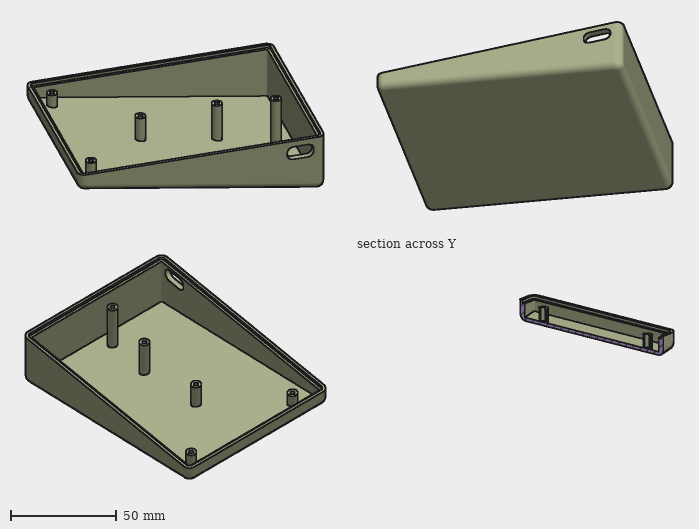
import cadquery as cq
import math

width = 87.0
length = 122.0
height = 29.4
floor_angle = math.radians(10)
edge_radius = 3.5

wall = 3.0
floor_thickness = 2.0
ledge_width = 1.6
ledge_depth = 1.5

post_diameter = 5.0
post_hole_diameter = 2.2
post_centers = [(2.5, 49.0), (-1.6, 21.0), (-1.6, -17.0), (-33.4, -51.0), (29.5, -51.0)]

opening_length = 13.2
opening_height = 7.0
opening_corner_radius = 3.0
opening_y = 48.7
opening_z = -6.7

slope = math.tan(floor_angle)
back_depth = height - edge_radius + edge_radius / math.cos(floor_angle) + edge_radius * slope


def wedge(inset, lift):
    """Flat-topped block with a sloping base, inset from the walls and lifted off the underside."""
    half_length = length / 2 - inset
    vertical_lift = lift / math.cos(floor_angle)
    back_z = -back_depth + inset * slope + vertical_lift
    front_z = -back_depth + (length - inset) * slope + vertical_lift
    return (
        cq.Workplane("YZ")
        .polyline([(-half_length, 0), (half_length, 0), (half_length, back_z), (-half_length, front_z)])
        .close()
        .extrude(width / 2 - inset, both=True)
    )


def rim_rebate():
    """Shallow step inside the rim, with corners concentric to the outside."""
    return (
        cq.Workplane("XY")
        .rect(width - 2 * ledge_width, length - 2 * ledge_width)
        .extrude(-ledge_depth)
        .edges("|Z")
        .fillet(edge_radius - ledge_width)
    )


def post_cylinders(diameter):
    """Vertical cylinders at every post, from the rebate level down past the floor."""
    return (
        cq.Workplane("XY", origin=(0, 0, -ledge_depth))
        .pushPoints(post_centers)
        .circle(diameter / 2)
        .extrude(-height)
    )


def cable_opening():
    """Rounded rectangle, long side along Y, through the +X wall."""
    return (
        cq.Workplane("YZ", origin=(width / 2 - 2 * wall, opening_y, opening_z))
        .rect(opening_length, opening_height)
        .extrude(3 * wall)
        .edges("|X")
        .fillet(opening_corner_radius)
    )


shell = wedge(0, 0).edges("|Z").fillet(edge_radius)
shell = shell.faces("<Z").edges().fillet(edge_radius)
cavity = wedge(wall, floor_thickness).edges("|Z").fillet(edge_radius - wall)

posts = post_cylinders(post_diameter).cut(post_cylinders(post_hole_diameter)).intersect(cavity)

result = shell.cut(cavity).cut(rim_rebate()).cut(cable_opening()).union(posts)